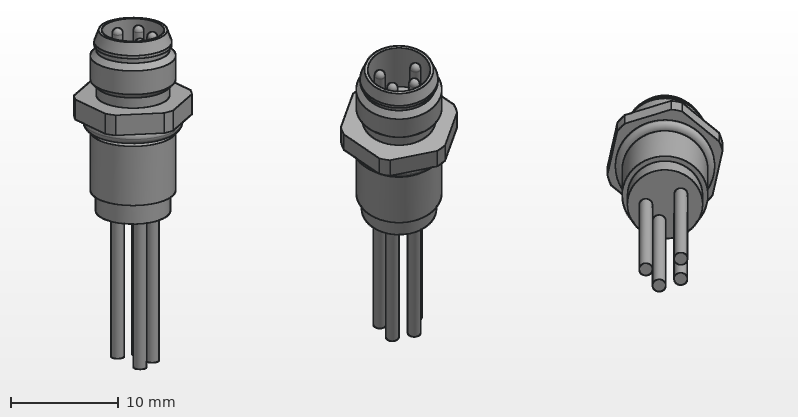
import cadquery as cq

total_height = 33.0
lip_top = 31.85
lip_bottom = 31.55
collar_top = 31.02
collar_bottom = 27.55
nut_top = 26.53
nut_bottom = 24.52
sleeve_top = 23.33
sleeve_bottom = 17.03
base_bottom = 14.98

rim_radius = 3.2
lip_radius = 3.63
neck_radius = 3.43
body_radius = 4.0
base_radius = 3.5
bevel = body_radius - neck_radius
sleeve_bevel = 0.4

socket_radius = 2.9
socket_depth = 5.0
pin_radius = 0.5
pin_tip_drop = 0.23
wire_radius = 0.63
contact_points = [(-1.05, 1.45), (1.05, 1.45), (-1.7, -0.5), (1.7, -0.5)]

nut_across_flats = 10.0
nut_across_corners = 11.0
ring_section_radius = 0.63
ring_center_radius = body_radius
ring_height = nut_bottom - ring_section_radius


def turned_body():
    """Stepped shell of revolution, from the base up to the rim."""
    profile = [
        (0, base_bottom),
        (base_radius, base_bottom),
        (base_radius, sleeve_bottom),
        (body_radius, sleeve_bottom),
        (body_radius, sleeve_top - sleeve_bevel),
        (body_radius - sleeve_bevel, sleeve_top),
        (neck_radius, sleeve_top),
        (neck_radius, collar_bottom),
        (body_radius, collar_bottom + bevel),
        (body_radius, collar_top - bevel),
        (neck_radius, collar_top),
        (neck_radius, lip_bottom),
        (lip_radius, lip_bottom),
        (lip_radius, lip_top),
        (rim_radius, total_height),
        (0, total_height),
    ]
    return cq.Workplane("XZ").polyline(profile).close().revolve(360, (0, 0), (0, 1))


def socket():
    """Round recess open at the rim."""
    floor = total_height - socket_depth
    return cq.Workplane("XY").workplane(offset=floor).circle(socket_radius).extrude(socket_depth)


def nut():
    """Hexagon with corners on the X axis, rounded off by a cylinder."""
    thickness = nut_top - nut_bottom
    plane = cq.Workplane("XY").workplane(offset=nut_bottom)
    hexagon = plane.polygon(6, nut_across_flats, circumscribed=True).extrude(thickness)
    hexagon = hexagon.rotate((0, 0, 0), (0, 0, 1), 90)
    return hexagon.intersect(plane.circle(nut_across_corners / 2).extrude(thickness))


def sealing_ring():
    """O-ring seated under the nut."""
    return (
        cq.Workplane("XZ")
        .center(ring_center_radius, ring_height)
        .circle(ring_section_radius)
        .revolve(360, (-ring_center_radius, 0), (-ring_center_radius, 1))
    )


def pins():
    """Contacts with hemispherical tips, standing on the socket floor."""
    floor = total_height - socket_depth
    tip_center = total_height - pin_tip_drop - pin_radius
    plane = cq.Workplane("XY").workplane(offset=floor)
    shafts = plane.pushPoints(contact_points).circle(pin_radius).extrude(tip_center - floor)
    tips = cq.Workplane("XY").workplane(offset=tip_center).pushPoints(contact_points).sphere(pin_radius)
    return shafts.union(tips)


def wires():
    """Straight leads hanging from the base, in line with the pins."""
    return cq.Workplane("XY").pushPoints(contact_points).circle(wire_radius).extrude(base_bottom)


result = turned_body().cut(socket()).union(nut()).union(sealing_ring()).union(pins()).union(wires())